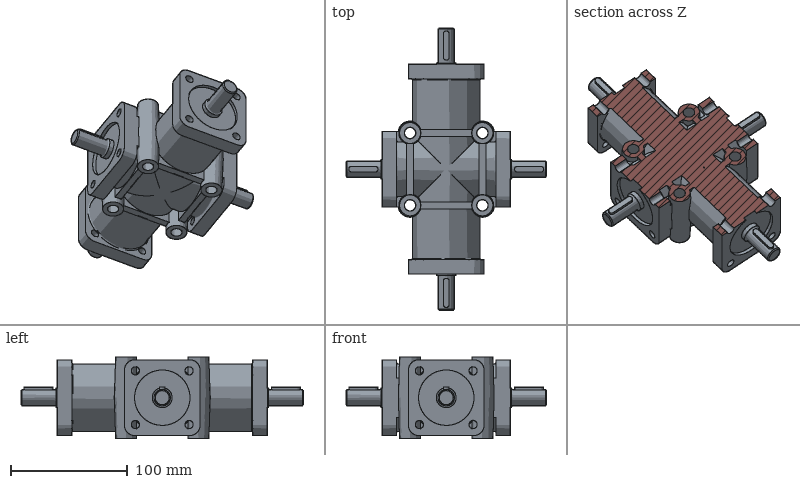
import cadquery as cq
import math

SHAFT_REACH_X = 86.0
SHAFT_REACH_Y = 121.0
SHAFT_EXPOSED = 31.0
FLANGE_FACE_X = SHAFT_REACH_X - SHAFT_EXPOSED
FLANGE_FACE_Y = SHAFT_REACH_Y - SHAFT_EXPOSED

TUBE_DIAMETER = 58.0
ROOT_FILLET = 1.0

FLANGE_SIZE = 65.0
FLANGE_THICKNESS = 12.5
FLANGE_CORNER = 9.0
BOLT_SPACING = 46.0
BOLT_HOLE_DIAMETER = 7.0
COVER_DIAMETER = 47.5
COVER_RECESS = 3.0

SHAFT_DIAMETER = 14.0
SHAFT_CHAMFER = 1.0
COLLAR_DIAMETER = 17.0
COLLAR_PROJECTION = 1.0
KEY_WIDTH = 5.0
KEY_LENGTH = 25.0
KEY_TOP = 9.0
KEY_DEPTH = 5.0
KEY_END_GAP = 2.5

BOSS_PITCH = 62.0
BOSS_HEIGHT = 70.0
BOSS_END_RADIUS = 9.0
BOSS_DRAFT = 2.0
BOSS_HOLE_DIAMETER = 9.5

RIB_WIDTH = 6.0
RIB_HEIGHT = 59.0

WEB_HEIGHT = 34.0


def disc(start, diameter, length):
    """Cylinder on the X axis, running outward from the given position."""
    return cq.Workplane("YZ", origin=(start, 0, 0)).circle(diameter / 2).extrude(length)


def root_fillet(wall, diameter, size, outward):
    """Concave ring where a cylinder on the X axis meets a wall; outward is the side it lies on."""
    radius = diameter / 2
    far = wall + outward * size
    sag = size * (1 - math.sqrt(0.5))
    return (
        cq.Workplane("XY")
        .moveTo(wall, radius - size)
        .lineTo(wall, radius + size)
        .threePointArc((wall + outward * sag, radius + sag), (far, radius))
        .lineTo(far, radius - size)
        .close()
        .revolve(360, (0, 0, 0), (1, 0, 0))
    )


def make_tube(flange_back):
    tube = disc(0, TUBE_DIAMETER, flange_back)
    return tube.union(root_fillet(flange_back, TUBE_DIAMETER, ROOT_FILLET, -1))


def make_flange(flange_face):
    flange = (
        cq.Workplane("YZ", origin=(flange_face, 0, 0))
        .rect(FLANGE_SIZE, FLANGE_SIZE)
        .extrude(-FLANGE_THICKNESS)
        .edges("|X")
        .fillet(FLANGE_CORNER)
    )
    return flange.cut(disc(flange_face, COVER_DIAMETER, -COVER_RECESS))


def make_bolt_holes(flange_face):
    return (
        cq.Workplane("YZ", origin=(flange_face, 0, 0))
        .rect(BOLT_SPACING, BOLT_SPACING, forConstruction=True)
        .vertices()
        .circle(BOLT_HOLE_DIAMETER / 2)
        .extrude(-FLANGE_THICKNESS)
    )


def make_shaft(flange_face):
    cover_face = flange_face - COVER_RECESS
    collar_end = flange_face + COLLAR_PROJECTION
    shaft = (
        disc(cover_face, SHAFT_DIAMETER, COVER_RECESS + SHAFT_EXPOSED)
        .faces(">X")
        .chamfer(SHAFT_CHAMFER)
    )
    collar = disc(cover_face, COLLAR_DIAMETER, COVER_RECESS + COLLAR_PROJECTION)
    fillet = root_fillet(collar_end, SHAFT_DIAMETER, ROOT_FILLET, 1)
    return shaft.union(collar).union(fillet).union(make_key(flange_face))


def make_key(flange_face):
    centre = flange_face + SHAFT_EXPOSED - KEY_END_GAP - KEY_LENGTH / 2
    return (
        cq.Workplane("XY", origin=(centre, 0, KEY_TOP - KEY_DEPTH))
        .slot2D(KEY_LENGTH, KEY_WIDTH)
        .extrude(KEY_DEPTH)
    )


def make_arm(flange_face):
    """One arm along +X: tube, end flange with its bolt holes, and keyed shaft."""
    flange_back = flange_face - FLANGE_THICKNESS
    flange = make_flange(flange_face).cut(make_bolt_holes(flange_face))
    return make_tube(flange_back).union(flange).union(make_shaft(flange_face))


def make_bosses():
    half = BOSS_HEIGHT / 2
    mid_radius = BOSS_END_RADIUS + half * math.tan(math.radians(BOSS_DRAFT))
    boss = (
        cq.Workplane("XZ")
        .polyline([
            (0, -half),
            (BOSS_END_RADIUS, -half),
            (mid_radius, 0),
            (BOSS_END_RADIUS, half),
            (0, half),
        ])
        .close()
        .revolve(360, (0, 0, 0), (0, 1, 0))
    )
    bosses = cq.Workplane("XY")
    for x in (-BOSS_PITCH / 2, BOSS_PITCH / 2):
        for y in (-BOSS_PITCH / 2, BOSS_PITCH / 2):
            bosses = bosses.union(boss.translate((x, y, 0)))
    return bosses


def make_boss_holes():
    return (
        cq.Workplane("XY", origin=(0, 0, -BOSS_HEIGHT / 2))
        .rect(BOSS_PITCH, BOSS_PITCH, forConstruction=True)
        .vertices()
        .circle(BOSS_HOLE_DIAMETER / 2)
        .extrude(BOSS_HEIGHT)
    )


def make_ribs():
    outer = BOSS_PITCH + RIB_WIDTH
    inner = BOSS_PITCH - RIB_WIDTH
    return (
        cq.Workplane("XY")
        .rect(outer, outer)
        .rect(inner, inner)
        .extrude(RIB_HEIGHT / 2, both=True)
    )


def make_webs():
    inner_end = BOSS_PITCH / 2
    length = FLANGE_FACE_X - FLANGE_THICKNESS - inner_end
    webs = cq.Workplane("XY")
    for side in (-1, 1):
        web = cq.Workplane("XY").box(length, FLANGE_SIZE, WEB_HEIGHT)
        webs = webs.union(web.translate((side * (inner_end + length / 2), 0, 0)))
    return webs


ARMS = [
    (0, FLANGE_FACE_X),
    (90, FLANGE_FACE_Y),
    (180, FLANGE_FACE_X),
    (270, FLANGE_FACE_Y),
]

result = make_bosses().union(make_ribs()).union(make_webs())
for angle, flange_face in ARMS:
    arm = make_arm(flange_face).rotate((0, 0, 0), (0, 0, 1), angle)
    result = result.union(arm)
result = result.cut(make_boss_holes())